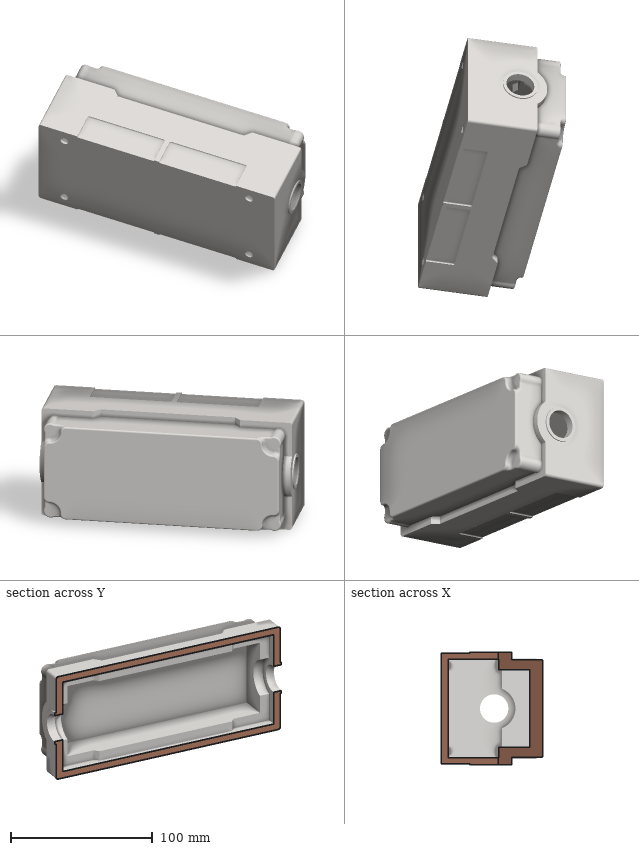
import cadquery as cq
import math

overall_length = 182.0
overall_depth = 72.0
overall_width = 80.0
boss_height = 1.0
box_corner_radius = 2.0
wall = 5.5
dome_wall = 7.3

seam_y = 43.0
seam_half_length = 56.0
dip_run = 4.5
dip_drop = 5.0
skirt_height = 7.1
step_half_length = 52.6

entry_bore_diameter = 20.0
entry_rim_diameter = 25.0
entry_clearance_diameter = 30.0

mount_hole_diameter = 6.0
mount_half_x = 70.5
mount_half_z = 30.5

label_length = 58.6
label_height = 20.4
label_gap = 3.8
label_depth = 1.0
label_corner_radius = 1.0
label_floor_fillet = 0.82

dome_half_x = 84.5
dome_half_z = 34.5
dome_corner_radius = 5.5
post_inset = 4.2
post_radius = 5.0
post_blend_radius = 4.0
notch_radius = 7.8
notch_flare_radius = 3.8
notch_depth = 4.0
notch_floor_fillet = 2.4
dome_edge_fillet = 1.18

box_length = overall_length - 2 * boss_height
box_half_x = box_length / 2
step_y = seam_y + skirt_height
entry_rim_radius = entry_rim_diameter / 2
entry_y = step_y - entry_rim_radius
hump_radius = entry_rim_radius + skirt_height
cavity_half_x = box_half_x - wall
cavity_length = box_length - 2 * wall
cavity_width = overall_width - 2 * wall
dome_base_y = seam_y - dip_drop
skirt_cavity_top = dome_base_y + skirt_height - wall
notch_floor_y = overall_depth - notch_depth
dome_cavity_top = notch_floor_y - wall
post_x = dome_half_x - post_inset
post_z = dome_half_z - post_inset


def prism(y_start, y_end):
    """Workplane and signed height for extruding an X-Z outline between two Y levels."""
    return cq.Workplane("XZ", origin=(0, y_start, 0)), y_start - y_end


def block(length, width, y_start, y_end, corner_radius=0):
    """A box centred on X and Z, with its edges along Y rounded if a radius is given."""
    plane, height = prism(y_start, y_end)
    body = plane.rect(length, width).extrude(height)
    if corner_radius:
        body = body.edges("|Y").fillet(corner_radius)
    return body


def below_parting(level, half_length):
    """Everything below a level that dips in the middle of the long sides."""
    low = level - dip_drop
    return (
        cq.Workplane("XY")
        .moveTo(-box_half_x, 0)
        .lineTo(box_half_x, 0)
        .lineTo(box_half_x, level)
        .lineTo(half_length, level)
        .lineTo(half_length - dip_run, low)
        .lineTo(dip_run - half_length, low)
        .lineTo(-half_length, level)
        .lineTo(-box_half_x, level)
        .close()
        .extrude(overall_width / 2, both=True)
    )


def entry_cylinders(diameter, x_inner, x_outer):
    """A cylinder on the cable entry axis at each end of the box."""
    right = (
        cq.Workplane("YZ", origin=(x_inner, entry_y, 0))
        .circle(diameter / 2)
        .extrude(x_outer - x_inner)
    )
    return right.union(right.mirror("YZ"))


def mirrored_to_corners(body):
    """The body and its copies in the other three corners."""
    half = body.union(body.mirror("YZ"))
    return half.union(half.mirror("XY"))


def label_recesses():
    """Cutters for two recesses on each long side, open at the base floor."""
    center_x = (label_length + label_gap) / 2
    side = None
    for x in (-center_x, center_x):
        recess = (
            cq.Workplane("XY", origin=(x, 0, overall_width / 2 - label_depth))
            .rect(label_length, 2 * label_height)
            .extrude(2 * label_depth)
            .edges("|Z")
            .fillet(label_corner_radius)
            .faces("<Z")
            .edges()
            .fillet(label_floor_fillet)
        )
        side = recess if side is None else side.union(recess)
    return side.union(side.mirror("XY"))


def mounting_holes():
    """Cutters for the four holes through the base floor."""
    plane, height = prism(0, wall)
    return (
        plane.rect(2 * mount_half_x, 2 * mount_half_z, forConstruction=True)
        .vertices()
        .circle(mount_hole_diameter / 2)
        .extrude(height)
    )


def make_base():
    """Open box with a bored rim at each end that rises past the parting line."""
    body = block(box_length, overall_width, 0, seam_y, box_corner_radius)
    body = body.intersect(below_parting(seam_y, seam_half_length))
    body = body.cut(block(cavity_length, cavity_width, wall, seam_y))
    body = body.union(entry_cylinders(entry_rim_diameter, cavity_half_x, overall_length / 2))
    body = body.cut(entry_cylinders(entry_bore_diameter, cavity_half_x, overall_length / 2))
    return body.cut(label_recesses()).cut(mounting_holes())


def lid_skirt():
    """Stepped slab in the box outline, up to the foot of the dome."""
    body = block(box_length, overall_width, 0, step_y, box_corner_radius)
    return body.intersect(below_parting(step_y, step_half_length))


def entry_humps():
    """Part of the lid that arches over each cable entry."""
    foot = math.sqrt(hump_radius**2 - entry_rim_radius**2)
    right = (
        cq.Workplane("YZ", origin=(dome_half_x - dome_wall, 0, 0))
        .moveTo(seam_y, -foot)
        .lineTo(step_y, -foot)
        .threePointArc((entry_y + hump_radius, 0), (step_y, foot))
        .lineTo(seam_y, foot)
        .close()
        .extrude(box_half_x - dome_half_x + dome_wall)
    )
    return right.union(right.mirror("YZ"))


def corner_notch():
    """Cutter for the stepped corner around one post, flared where it meets the dome walls."""
    r = notch_radius
    flare = notch_flare_radius
    end = r + flare
    start_of_flare = post_inset - flare
    bend = math.sqrt(0.5)
    flare_mid = flare * (1 - bend)
    clear = 2 * post_inset
    plane = cq.Workplane("XZ", origin=(post_x, notch_floor_y, post_z))
    cutter = (
        plane.moveTo(-end, post_inset)
        .threePointArc((-r - flare_mid, post_inset - flare_mid), (-r, start_of_flare))
        .lineTo(-r, 0)
        .threePointArc((-r * bend, -r * bend), (0, -r))
        .lineTo(start_of_flare, -r)
        .threePointArc((post_inset - flare_mid, -r - flare_mid), (post_inset, -end))
        .lineTo(clear, -end)
        .lineTo(clear, clear)
        .lineTo(-end, clear)
        .close()
        .extrude(-2 * notch_depth)
    )
    floor_edges = []
    for edge in cutter.faces("<Y").edges().vals():
        middle = edge.positionAt(0.5)
        if middle.x < dome_half_x and middle.z < dome_half_z:
            floor_edges.append(edge)
    return cq.Workplane(obj=cutter.val().fillet(notch_floor_fillet, floor_edges))


def edges_nearest(body, points):
    """For each point, the edge of the body that lies closest to it."""
    return [body.edges(cq.NearestToPointSelector(point)).val() for point in points]


def post_feet():
    """Midpoints of the inner corners where the round posts leave the flat dome walls."""
    reach = math.sqrt(post_radius**2 - post_inset**2)
    y = (dome_base_y + overall_depth) / 2
    points = []
    for side_x in (-1, 1):
        for side_z in (-1, 1):
            points.append((side_x * (post_x - reach), y, side_z * dome_half_z))
            points.append((side_x * dome_half_x, y, side_z * (post_z - reach)))
    return points


def post_rims():
    """Outermost points of the post ends, one on the rim of each notch floor."""
    reach = post_radius * math.sqrt(0.5)
    points = []
    for side_x in (-1, 1):
        for side_z in (-1, 1):
            points.append((side_x * (post_x + reach), notch_floor_y, side_z * (post_z + reach)))
    return points


def lid_dome():
    """Raised top of the lid with its corner posts, stepped corners and rounded edges."""
    body = block(2 * dome_half_x, 2 * dome_half_z, dome_base_y, overall_depth, dome_corner_radius)
    plane, height = prism(dome_base_y, overall_depth)
    posts = (
        plane.rect(2 * post_x, 2 * post_z, forConstruction=True)
        .vertices()
        .circle(post_radius)
        .extrude(height)
    )
    body = body.union(posts)
    blended = body.val().fillet(post_blend_radius, edges_nearest(body, post_feet()))
    body = cq.Workplane(obj=blended).cut(mirrored_to_corners(corner_notch()))
    rim = body.faces(">Y").edges().vals() + edges_nearest(body, post_rims())
    return cq.Workplane(obj=body.val().fillet(dome_edge_fillet, rim))


def lid_cavity():
    """Cutter for the inside of the skirt and the narrower inside of the dome."""
    lower = block(cavity_length, cavity_width, 0, skirt_cavity_top)
    upper_length = 2 * (dome_half_x - dome_wall)
    upper_width = 2 * (dome_half_z - dome_wall)
    upper = block(upper_length, upper_width, 0, dome_cavity_top)
    return lower.union(upper)


def make_lid():
    """Hollow lid that fits over the base and around both cable entry rims."""
    body = lid_skirt().union(entry_humps()).union(lid_dome())
    body = body.cut(below_parting(seam_y, seam_half_length)).cut(lid_cavity())
    body = body.cut(entry_cylinders(entry_clearance_diameter, dome_half_x - dome_wall, cavity_half_x))
    return body.cut(entry_cylinders(entry_rim_diameter, cavity_half_x, overall_length / 2))


base = make_base()
lid = make_lid()

result = cq.Compound.makeCompound([base.val(), lid.val()])